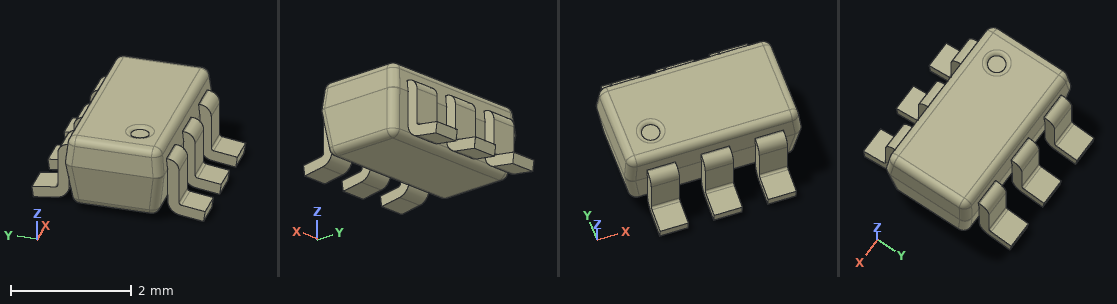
import cadquery as cq
import math

BODY_LENGTH = 3.1
BODY_WIDTH = 1.702
UPPER_HEIGHT = 0.5
LOWER_HEIGHT = 0.8
UPPER_DRAFT = 6.0
LOWER_DRAFT = 8.0
EDGE_RADIUS = 0.15

LEADS_PER_SIDE = 3
LEAD_PITCH = 0.95
LEAD_WIDTH = 0.5
LEAD_THICKNESS = 0.198
LEAD_SPAN = 3.0
LEAD_DROP = 0.102
FOOT_SLOPE = 8.0
FOOT_BEND_RADIUS = 0.05
LEAD_ROOT_DEPTH = 0.15

DIMPLE_X = -0.95
DIMPLE_Y = -0.3
DIMPLE_MOUTH_RADIUS = 0.24
DIMPLE_DEPTH = 0.05
DIMPLE_RIM_RADIUS = 0.1


def make_body():
    """Two tapered blocks joined at Z = 0, with every edge except the waist line rounded."""
    upper = cq.Workplane("XY").rect(BODY_LENGTH, BODY_WIDTH).extrude(UPPER_HEIGHT, taper=UPPER_DRAFT)
    lower = cq.Workplane("XY").rect(BODY_LENGTH, BODY_WIDTH).extrude(-LOWER_HEIGHT, taper=LOWER_DRAFT)
    body = upper.union(lower)
    corner_edges = body.edges("not(|X or |Y)")
    rim_edges = body.faces("<Z or >Z").edges()
    return corner_edges.add(rim_edges).fillet(EDGE_RADIUS)


def make_lead():
    """Lead on the +Y side, centred on X = 0: shoulder, upright leg and sloping foot."""
    slope = math.radians(FOOT_SLOPE)
    sin_slope = math.sin(slope)
    cos_slope = math.cos(slope)
    leg_inner_y = BODY_WIDTH / 2
    leg_outer_y = leg_inner_y + LEAD_THICKNESS

    tip_top_y = LEAD_SPAN / 2
    tip_bottom_y = tip_top_y - LEAD_THICKNESS * sin_slope
    tip_bottom_z = -LOWER_HEIGHT - LEAD_DROP
    tip_top_z = tip_bottom_z + LEAD_THICKNESS * cos_slope

    bend_y = leg_outer_y + FOOT_BEND_RADIUS
    bend_end_y = bend_y - FOOT_BEND_RADIUS * sin_slope
    bend_end_z = tip_top_z + (tip_top_y - bend_end_y) * math.tan(slope)
    bend_z = bend_end_z + FOOT_BEND_RADIUS * cos_slope
    half_bend = math.radians(90 - FOOT_SLOPE) / 2

    def bend_point(radius, turn):
        return (bend_y - radius * math.cos(turn), bend_z - radius * math.sin(turn))

    outside_radius = FOOT_BEND_RADIUS + LEAD_THICKNESS
    shoulder_offset = LEAD_THICKNESS * math.sqrt(0.5)
    root_y = leg_inner_y - LEAD_ROOT_DEPTH

    return (
        cq.Workplane("YZ", origin=(-LEAD_WIDTH / 2, 0, 0))
        .moveTo(root_y, 0)
        .lineTo(root_y, LEAD_THICKNESS)
        .lineTo(leg_inner_y, LEAD_THICKNESS)
        .threePointArc((leg_inner_y + shoulder_offset, shoulder_offset), (leg_outer_y, 0))
        .lineTo(leg_outer_y, bend_z)
        .threePointArc(bend_point(FOOT_BEND_RADIUS, half_bend), (bend_end_y, bend_end_z))
        .lineTo(tip_top_y, tip_top_z)
        .lineTo(tip_bottom_y, tip_bottom_z)
        .lineTo(*bend_point(outside_radius, 2 * half_bend))
        .threePointArc(bend_point(outside_radius, half_bend), (leg_inner_y, bend_z))
        .lineTo(leg_inner_y, 0)
        .close()
        .extrude(LEAD_WIDTH)
    )


def make_dimple_cutter():
    """Shallow revolved cutter whose flared side is tangent to the top face at the mouth."""
    rim_turn = math.acos(1 - DIMPLE_DEPTH / DIMPLE_RIM_RADIUS)

    def rim_point(turn):
        radius = DIMPLE_MOUTH_RADIUS - DIMPLE_RIM_RADIUS * math.sin(turn)
        height = DIMPLE_RIM_RADIUS * (math.cos(turn) - 1)
        return (radius, height)

    return (
        cq.Workplane("XZ")
        .moveTo(0, -DIMPLE_DEPTH)
        .lineTo(*rim_point(rim_turn))
        .threePointArc(rim_point(rim_turn / 2), rim_point(0))
        .lineTo(0, 0)
        .close()
        .revolve(axisStart=(0, 0, 0), axisEnd=(0, 1, 0))
        .translate((DIMPLE_X, DIMPLE_Y, UPPER_HEIGHT))
    )


result = make_body()

lead = make_lead()
for index in range(LEADS_PER_SIDE):
    lead_x = (index - (LEADS_PER_SIDE - 1) / 2) * LEAD_PITCH
    placed_lead = lead.translate((lead_x, 0, 0))
    result = result.union(placed_lead)
    result = result.union(placed_lead.mirror("XZ"))

result = result.cut(make_dimple_cutter())